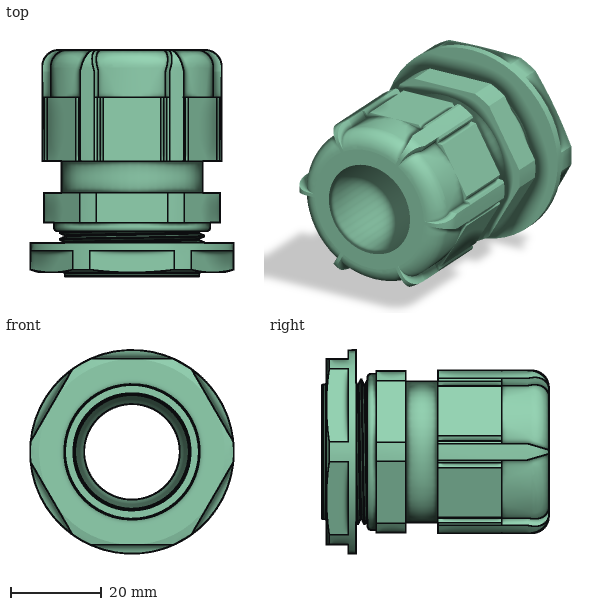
import cadquery as cq
import math


TOTAL_LENGTH = 50.1

SPIGOT_RADIUS = 14.9
SPIGOT_CHAMFER_HEIGHT = 0.3
SPIGOT_CHAMFER_DEPTH = 0.15
SPIGOT_RING_BOTTOM = 0.8
SPIGOT_RING_RADIUS = 15.0
THREAD_RADIUS = 16.0
THREAD_PITCH = 1.5
THREAD_START = 6.0
THREAD_TURNS = 4
THREAD_ROOT_WIDTH = 1.3
THREAD_CREST_WIDTH = 0.2
THREAD_OVERLAP = 0.15

NUT_BOTTOM = 1.0
NUT_FLANGE_BOTTOM = 5.75
NUT_TOP = 7.5
NUT_RADIUS = 22.5
NUT_HALF_FLATS = 20.5
NUT_CHAMFER_HEIGHT = 0.6

COLLAR_BOTTOM = 10.0
COLLAR_RADIUS = 17.3
COLLAR_FILLET = 0.95

HEX_BOTTOM = 11.95
HEX_TOP = 18.55
HEX_RADIUS = 19.5
HEX_HALF_FLATS = 17.85
NECK_RADIUS = 15.65

CAP_BOTTOM = 25.55
CAP_HEX_TOP = 39.7
CAP_HALF_FLATS = 18.0
CAP_FLAT_HALF_WIDTH = 6.3
DOME_FILLET = 3.85
RIB_RADIUS = 19.85
RIB_FILLET = 3.75
RIB_HALF_WIDTH = 1.8
RIB_TIP_HALF_WIDTH = 0.425
RIB_TAPER_START = 45.35
RIB_GROOVE = (18.3, 2.45)
RIB_SHOULDER = (19.4, 2.35)

BORE_RADIUS = 12.75
BORE_MOUTH_CHAMFER = 0.25
BORE_CONE_RADIUS = 12.5
BORE_EXIT_RADIUS = 10.5
BORE_CONE_LENGTH = 2.05

SIDES = 6
STEP_ANGLE = 360 / SIDES


def cylinder(radius, bottom, top):
    return cq.Workplane("XY").workplane(offset=bottom).circle(radius).extrude(top - bottom)


def trimmed_hexagon(half_flats, radius, bottom, top):
    """Hexagon with flats facing +Y and -Y, its corners trimmed round."""
    corner_diameter = 2 * half_flats / math.cos(math.pi / SIDES)
    hexagon = (
        cq.Workplane("XY")
        .workplane(offset=bottom)
        .polygon(SIDES, corner_diameter)
        .extrude(top - bottom)
    )
    return hexagon.intersect(cylinder(radius, bottom, top))


def make_thread():
    """Right-handed helical ridge whose ends are buried in the nut and the body."""
    root = SPIGOT_RADIUS - THREAD_OVERLAP
    helix = cq.Wire.makeHelix(THREAD_PITCH, THREAD_TURNS * THREAD_PITCH, SPIGOT_RADIUS)
    ridge = (
        cq.Workplane("XZ")
        .moveTo(root, -THREAD_ROOT_WIDTH / 2)
        .lineTo(THREAD_RADIUS, -THREAD_CREST_WIDTH / 2)
        .lineTo(THREAD_RADIUS, THREAD_CREST_WIDTH / 2)
        .lineTo(root, THREAD_ROOT_WIDTH / 2)
        .close()
        .sweep(cq.Workplane(obj=helix), isFrenet=True)
    )
    return ridge.translate((0, 0, THREAD_START))


def make_spigot():
    """Spigot with a chamfered end and a slightly larger ring where it leaves the nut."""
    spigot = cylinder(SPIGOT_RADIUS, 0, HEX_BOTTOM)
    spigot = spigot.faces("<Z").chamfer(SPIGOT_CHAMFER_HEIGHT, SPIGOT_CHAMFER_DEPTH)
    ring = cylinder(SPIGOT_RING_RADIUS, SPIGOT_RING_BOTTOM, NUT_BOTTOM)
    return spigot.union(ring).union(make_thread())


def make_nut():
    """Flanged locknut; the chamfer circle on its bottom face touches the flats."""
    hexagon = trimmed_hexagon(NUT_HALF_FLATS, NUT_RADIUS, NUT_BOTTOM, NUT_FLANGE_BOTTOM)
    flange = cylinder(NUT_RADIUS, NUT_FLANGE_BOTTOM, NUT_TOP)
    envelope = cylinder(NUT_RADIUS, NUT_BOTTOM, NUT_TOP)
    envelope = envelope.faces("<Z").chamfer(NUT_CHAMFER_HEIGHT, NUT_RADIUS - NUT_HALF_FLATS)
    return hexagon.union(flange).intersect(envelope)


def make_body():
    collar = cylinder(COLLAR_RADIUS, COLLAR_BOTTOM, HEX_BOTTOM)
    collar = collar.faces("<Z").edges().fillet(COLLAR_FILLET)
    hexagon = trimmed_hexagon(HEX_HALF_FLATS, HEX_RADIUS, HEX_BOTTOM, HEX_TOP)
    neck = cylinder(NECK_RADIUS, HEX_TOP, CAP_BOTTOM)
    return collar.union(hexagon).union(neck)


def turned(point, angle):
    """Point given as (distance out, distance sideways), turned about the axis."""
    out, side = point
    cosine = math.cos(math.radians(angle))
    sine = math.sin(math.radians(angle))
    return (out * cosine - side * sine, out * sine + side * cosine)


def make_cap_hexagon():
    """Hexagonal length of the cap, with a grooved foot on both sides of each rib."""
    flat_end = (CAP_HALF_FLATS, CAP_FLAT_HALF_WIDTH)
    rib_edge = (math.sqrt(RIB_RADIUS**2 - RIB_HALF_WIDTH**2), RIB_HALF_WIDTH)
    rising = [(out, -side) for out, side in (RIB_GROOVE, RIB_SHOULDER, rib_edge)]
    falling = [rib_edge, RIB_SHOULDER, RIB_GROOVE]
    points = []
    for index in range(SIDES):
        rib_angle = index * STEP_ANGLE
        points += [turned(point, rib_angle) for point in rising + falling]
        flat_angle = rib_angle + STEP_ANGLE / 2
        points += [turned((flat_end[0], side), flat_angle) for side in (-flat_end[1], flat_end[1])]
    outline = cq.Workplane("XY").workplane(offset=CAP_BOTTOM).polyline(points).close()
    return outline.extrude(CAP_HEX_TOP - CAP_BOTTOM)


def make_ribs():
    """Six ribs whose side walls close in towards the crown."""
    rib_outline = (
        cq.Workplane("YZ")
        .moveTo(-RIB_HALF_WIDTH, CAP_BOTTOM)
        .lineTo(RIB_HALF_WIDTH, CAP_BOTTOM)
        .lineTo(RIB_HALF_WIDTH, RIB_TAPER_START)
        .lineTo(RIB_TIP_HALF_WIDTH, TOTAL_LENGTH)
        .lineTo(-RIB_TIP_HALF_WIDTH, TOTAL_LENGTH)
        .lineTo(-RIB_HALF_WIDTH, RIB_TAPER_START)
        .close()
    )
    bar = rib_outline.extrude(2 * RIB_RADIUS, both=True)
    bars = bar
    for index in range(1, SIDES // 2):
        bars = bars.union(bar.rotate((0, 0, 0), (0, 0, 1), index * STEP_ANGLE))
    envelope = cylinder(RIB_RADIUS, CAP_BOTTOM, TOTAL_LENGTH)
    envelope = envelope.faces(">Z").edges().fillet(RIB_FILLET)
    return bars.intersect(envelope)


def make_cap():
    dome = cylinder(CAP_HALF_FLATS, CAP_BOTTOM, TOTAL_LENGTH)
    dome = dome.faces(">Z").edges().fillet(DOME_FILLET)
    return dome.union(make_cap_hexagon()).union(make_ribs())


def make_bore():
    """Straight bore with a chamfered mouth, a small ledge and a cone that ends at the crown."""
    cone_start = TOTAL_LENGTH - BORE_CONE_LENGTH
    return (
        cq.Workplane("XZ")
        .moveTo(0, 0)
        .lineTo(BORE_RADIUS + BORE_MOUTH_CHAMFER, 0)
        .lineTo(BORE_RADIUS, BORE_MOUTH_CHAMFER)
        .lineTo(BORE_RADIUS, cone_start)
        .lineTo(BORE_CONE_RADIUS, cone_start)
        .lineTo(BORE_EXIT_RADIUS, TOTAL_LENGTH)
        .lineTo(0, TOTAL_LENGTH)
        .close()
        .revolve(360, (0, 0, 0), (0, 1, 0))
    )


gland = make_spigot().union(make_nut()).union(make_body()).union(make_cap()).cut(make_bore())
result = gland.rotate((0, 0, 0), (1, 0, 0), -90)